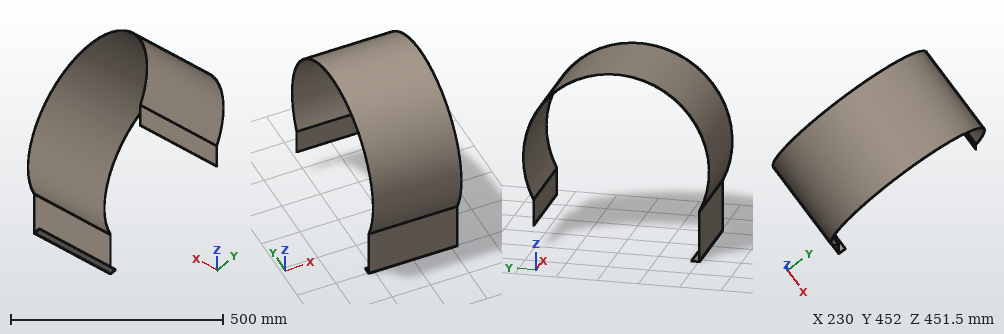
import cadquery as cq
import math

width = 230.0
outer_radius = 226.0
thickness = 1.0
front_leg_outer = 202.5
back_leg_outer = 200.5
front_bottom = -225.5
back_bottom = -168.5
flange_length = 20.0


def bend_height(radius, leg_offset):
    """Height where a leg face meets the lower part of an arc centred on the axis."""
    return -math.sqrt(radius**2 - leg_offset**2)


inner_radius = outer_radius - thickness
front_leg_inner = front_leg_outer - thickness
back_leg_inner = back_leg_outer - thickness
flange_top = front_bottom + thickness
flange_tip = -front_leg_outer + flange_length

profile = (
    cq.Workplane("YZ")
    .moveTo(-front_leg_outer, front_bottom)
    .lineTo(-front_leg_outer, bend_height(outer_radius, front_leg_outer))
    .threePointArc((0, outer_radius), (back_leg_outer, bend_height(outer_radius, back_leg_outer)))
    .lineTo(back_leg_outer, back_bottom)
    .lineTo(back_leg_inner, back_bottom)
    .lineTo(back_leg_inner, bend_height(inner_radius, back_leg_inner))
    .threePointArc((0, inner_radius), (-front_leg_inner, bend_height(inner_radius, front_leg_inner)))
    .lineTo(-front_leg_inner, flange_top)
    .lineTo(flange_tip, flange_top)
    .lineTo(flange_tip, front_bottom)
    .close()
)

result = profile.extrude(width / 2, both=True)